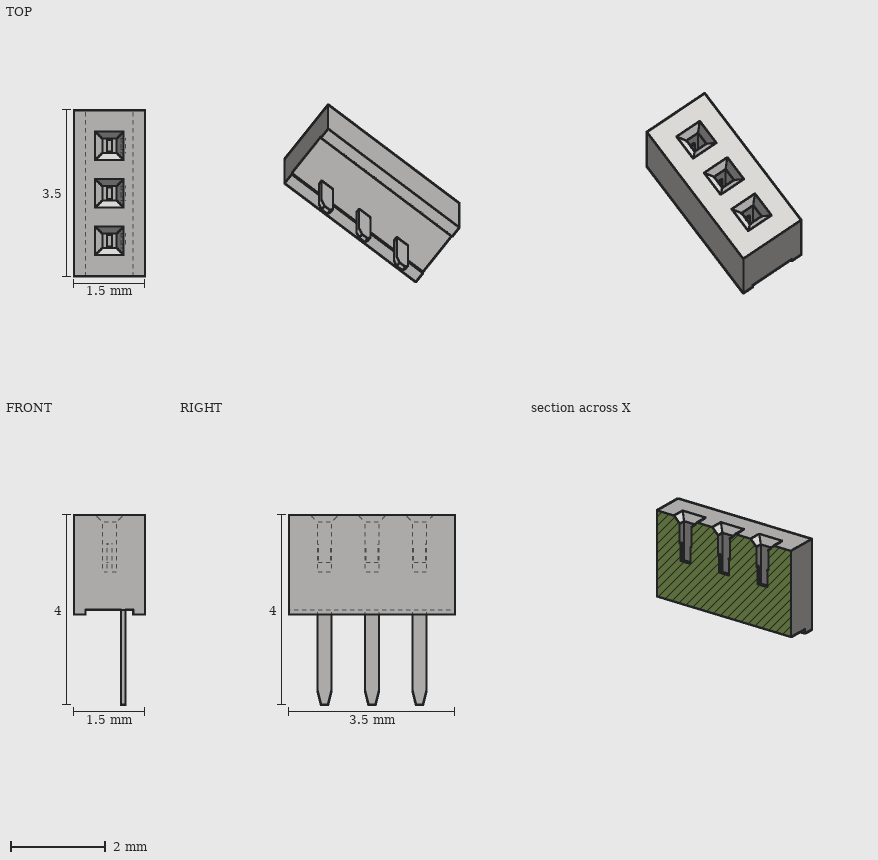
import cadquery as cq

body_width = 1.5
body_length = 3.5
body_height = 2.1
recess_width = 1.0
recess_height = 0.1

contact_count = 3
contact_pitch = 1.0
contact_thickness = 0.1

socket_width = 0.3
funnel_width = 2 * socket_width
funnel_depth = (funnel_width - socket_width) / 2
socket_depth = 1.2

fork_height = 0.6
yoke_height = 0.2
arm_thickness = 0.026

tail_offset = 0.29
tail_width = 0.305
tail_tip_width = tail_width / 2
tail_taper_length = 0.305
total_height = 4.0

socket_floor = body_height - socket_depth
tail_bottom = body_height - total_height
contact_positions = [
    (index - (contact_count - 1) / 2) * contact_pitch for index in range(contact_count)
]


def extrude_across_x(outline, center_x):
    """Plate of contact thickness from (y, z) points, centred on center_x."""
    plate = cq.Workplane("YZ").polyline(outline).close().extrude(contact_thickness / 2, both=True)
    return plate.translate((center_x, 0, 0))


def make_housing():
    housing = cq.Workplane("XY").box(
        body_width, body_length, body_height, centered=(True, True, False)
    )
    recess = cq.Workplane("XY").box(
        recess_width, body_length, recess_height, centered=(True, True, False)
    )
    return housing.cut(recess)


def make_socket():
    """Cutter for one socket, centred on Y = 0."""
    hole = (
        cq.Workplane("XY", origin=(0, 0, socket_floor))
        .rect(socket_width, socket_width)
        .extrude(socket_depth)
    )
    funnel = (
        cq.Workplane("XY", origin=(0, 0, body_height - funnel_depth))
        .rect(socket_width, socket_width)
        .workplane(offset=funnel_depth)
        .rect(funnel_width, funnel_width)
        .loft(ruled=True)
    )
    return hole.union(funnel)


def make_fork():
    """Fork inside one socket; the arm tips are bevelled at 45 degrees."""
    outer = socket_width / 2
    inner = outer - arm_thickness
    tip = socket_floor + fork_height
    bevel_end = tip - arm_thickness
    yoke = socket_floor + yoke_height
    outline = [
        (-outer, socket_floor),
        (-outer, tip),
        (-inner, bevel_end),
        (-inner, yoke),
        (inner, yoke),
        (inner, bevel_end),
        (outer, tip),
        (outer, socket_floor),
    ]
    return extrude_across_x(outline, 0)


def make_tail():
    """Flat tail below the housing, tapered in width at its tip."""
    half_width = tail_width / 2
    half_tip = tail_tip_width / 2
    taper_start = tail_bottom + tail_taper_length
    outline = [
        (-half_width, recess_height),
        (-half_width, taper_start),
        (-half_tip, tail_bottom),
        (half_tip, tail_bottom),
        (half_width, taper_start),
        (half_width, recess_height),
    ]
    return extrude_across_x(outline, tail_offset)


result = make_housing()
for position in contact_positions:
    shift = (0, position, 0)
    result = result.cut(make_socket().translate(shift))
    result = result.union(make_fork().translate(shift))
    result = result.union(make_tail().translate(shift))